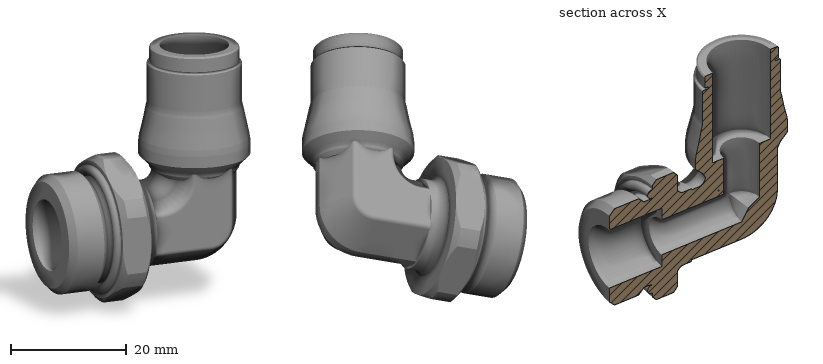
import cadquery as cq
import math


socket_top = 30.95
collet_radius = 7.8
collet_bottom = 28.35
collet_chamfer = 0.25
gap_radius = 7.05
sleeve_radius = 8.23
sleeve_top = 28.05
sleeve_chamfer = 0.18
flare_top = 21.3
flare_cone_top = 20.05
flare_cone_top_radius = 8.45
flare_cone_bottom = 14.8
flare_cone_bottom_radius = 9.6
bulge_radius = 9.7
bulge_top = 13.6
bulge_bottom = 11.6
bulge_cone_bottom = 10.25
bulge_cone_end_radius = 8.3
neck_radius = 7.85
neck_waist = 9.33
neck_bottom = 8.55
neck_bottom_radius = 7.25

half_width = 7.52
outer_reach = 7.55
outer_slope_start = 3.8
shoulder_start = 3.45
shoulder_angle = math.radians(30)
blend_radius = 0.85
shoulder_end = 4.4
hump_half_width = 3.85
hump_edge = 5.9
hump_top = 7.65
bend_centre = 9.1

collar_start = 10.45
collar_radius = 7.9
collar_fillet_start = 12.05
collar_fillet_end_radius = 8.75
hex_start = 13.37
hex_length = 5.4
hex_end = hex_start + hex_length
hex_across_flats = 24.0
hex_corner_radius = 13.0
hex_chamfer_length = 0.9
hex_face_radius = hex_across_flats / 2
relief_radius = 9.33
relief_end = 20.45
thread_radius = 10.45
spigot_end = 27.75
thread_chamfer = thread_radius - relief_radius
ring_section_radius = 0.95

bore_radius = 3.75
drill_half_angle = math.radians(59)
drill_tip = bore_radius / math.tan(drill_half_angle)
tube_bore_radius = 6.03
tube_stop = 11.6
spigot_bore_radius = 6.25
spigot_bore_depth = 11.0


def socket():
    """Collet, sleeve, flared skirt and neck as one turned shape."""
    return (
        cq.Workplane("XZ")
        .moveTo(0, socket_top)
        .lineTo(collet_radius - collet_chamfer, socket_top)
        .lineTo(collet_radius, socket_top - collet_chamfer)
        .lineTo(collet_radius, collet_bottom)
        .lineTo(gap_radius, collet_bottom)
        .lineTo(gap_radius, sleeve_top)
        .lineTo(sleeve_radius - sleeve_chamfer, sleeve_top)
        .lineTo(sleeve_radius, sleeve_top - sleeve_chamfer)
        .lineTo(sleeve_radius, flare_top)
        .tangentArcPoint((flare_cone_top_radius, flare_cone_top), relative=False)
        .lineTo(flare_cone_bottom_radius, flare_cone_bottom)
        .tangentArcPoint((bulge_radius, bulge_top), relative=False)
        .lineTo(bulge_radius, bulge_bottom)
        .lineTo(bulge_cone_end_radius, bulge_cone_bottom)
        .tangentArcPoint((neck_radius, neck_waist), relative=False)
        .lineTo(neck_bottom_radius, neck_bottom)
        .lineTo(0, neck_bottom)
        .close()
        .revolve(360, (0, 0, 0), (0, 1, 0))
    )


def outer_section(plane):
    """Half of the elbow section that faces the outside of the bend."""
    setback = blend_radius * math.tan((math.pi / 2 - shoulder_angle) / 2)
    blend_start = outer_slope_start - setback
    blend_end_u = half_width - setback * math.cos(shoulder_angle)
    blend_end_v = outer_slope_start + setback * math.sin(shoulder_angle)
    flat_half = half_width - (outer_reach - outer_slope_start) / math.tan(shoulder_angle)
    return (
        cq.Workplane(plane)
        .moveTo(-half_width, 0)
        .lineTo(half_width, 0)
        .lineTo(half_width, -blend_start)
        .tangentArcPoint((blend_end_u, -blend_end_v), relative=False)
        .lineTo(flat_half, -outer_reach)
        .lineTo(-flat_half, -outer_reach)
        .lineTo(-blend_end_u, -blend_end_v)
        .tangentArcPoint((-half_width, -blend_start), relative=False)
        .close()
    )


def inner_section(plane, depth):
    """Elbow section facing the inside of the bend, with straight sides down to -depth."""
    turn = math.pi / 2 - shoulder_angle
    setback = blend_radius * math.tan(turn / 2)
    blend_start = shoulder_start - setback
    blend_end_u = half_width - setback * math.cos(shoulder_angle)
    blend_end_v = shoulder_start + setback * math.sin(shoulder_angle)
    shoulder_top = shoulder_start + (half_width - shoulder_end) * math.tan(shoulder_angle)
    return (
        cq.Workplane(plane)
        .moveTo(-half_width, -depth)
        .lineTo(half_width, -depth)
        .lineTo(half_width, blend_start)
        .tangentArcPoint((blend_end_u, blend_end_v), relative=False)
        .lineTo(shoulder_end, shoulder_top)
        .lineTo(hump_half_width, hump_edge)
        .threePointArc((0, hump_top), (-hump_half_width, hump_edge))
        .lineTo(-shoulder_end, shoulder_top)
        .lineTo(-blend_end_u, blend_end_v)
        .tangentArcPoint((-half_width, blend_start), relative=False)
        .close()
    )


def elbow():
    """Two legs joined by a round outside corner and a saddle-shaped inside bend."""
    spigot_plane = cq.Plane((0, 0, 0), xDir=(1, 0, 0), normal=(0, -1, 0))
    socket_plane = cq.Plane((0, 0, 0), xDir=(-1, 0, 0), normal=(0, 0, 1))
    spigot_bend_plane = cq.Plane((0, -bend_centre, 0), xDir=(1, 0, 0), normal=(0, -1, 0))
    socket_bend_plane = cq.Plane((0, 0, bend_centre), xDir=(-1, 0, 0), normal=(0, 0, 1))

    corner = outer_section(spigot_plane).revolve(90, (0, 0, 0), (1, 0, 0))
    spigot_leg = outer_section(spigot_plane).extrude(collar_start)
    socket_leg = outer_section(socket_plane).extrude(bulge_bottom)

    fill_depth = bend_centre * (math.sqrt(2) - 1)
    quadrant = (
        cq.Workplane("XY", origin=(0, -bend_centre, 0))
        .box(2 * half_width, bend_centre, bend_centre, centered=(True, False, False))
    )
    bend = inner_section(spigot_bend_plane, fill_depth).revolve(
        90, (0, bend_centre, 0), (1, bend_centre, 0)
    )
    bend = bend.intersect(quadrant)
    spigot_inside = inner_section(spigot_bend_plane, 0).extrude(collar_start - bend_centre)
    socket_inside = inner_section(socket_bend_plane, 0).extrude(bulge_bottom - bend_centre)

    body = corner.union(spigot_leg).union(socket_leg)
    return body.union(bend).union(spigot_inside).union(socket_inside)


def revolve_about_y(profile):
    """Close a half profile in the XY plane and turn it about the Y axis."""
    return profile.close().revolve(360, (0, 0, 0), (0, 1, 0))


def collar():
    """Round collar that flares into the hexagon."""
    return revolve_about_y(
        cq.Workplane("XY")
        .moveTo(0, -collar_start)
        .lineTo(collar_radius, -collar_start)
        .lineTo(collar_radius, -collar_fillet_start)
        .tangentArcPoint((collar_fillet_end_radius, -hex_start), relative=False)
        .lineTo(0, -hex_start)
    )


def hexagon():
    """Hexagon with corners turned down and chamfered at both faces."""
    across_corners = hex_across_flats / math.cos(math.pi / 6)
    prism = (
        cq.Workplane("XZ", origin=(0, -hex_start, 0))
        .transformed(rotate=(0, 0, 90))
        .polygon(6, across_corners)
        .extrude(hex_length)
    )
    blank = revolve_about_y(
        cq.Workplane("XY")
        .moveTo(0, -hex_start)
        .lineTo(hex_face_radius, -hex_start)
        .lineTo(hex_corner_radius, -hex_start - hex_chamfer_length)
        .lineTo(hex_corner_radius, -hex_end + hex_chamfer_length)
        .lineTo(hex_face_radius, -hex_end)
        .lineTo(0, -hex_end)
    )
    return prism.intersect(blank)


def spigot():
    """Relief groove and thread blank with 45 degree ends."""
    return revolve_about_y(
        cq.Workplane("XY")
        .moveTo(0, -hex_end)
        .lineTo(relief_radius, -hex_end)
        .lineTo(relief_radius, -relief_end)
        .lineTo(thread_radius, -relief_end - thread_chamfer)
        .lineTo(thread_radius, -spigot_end + thread_chamfer)
        .lineTo(thread_radius - thread_chamfer, -spigot_end)
        .lineTo(0, -spigot_end)
    )


def sealing_ring():
    """Round-section ring seated on the relief diameter."""
    return (
        cq.Workplane("XY")
        .moveTo(relief_radius + ring_section_radius, -hex_end)
        .circle(ring_section_radius)
        .revolve(360, (0, 0, 0), (0, 1, 0))
    )


def stepped_bore(length, wide_radius, wide_start):
    """Drilled hole along +Z with a pointed end below the origin and a wider mouth."""
    return (
        cq.Workplane("XZ")
        .moveTo(0, -drill_tip)
        .lineTo(bore_radius, 0)
        .lineTo(bore_radius, wide_start)
        .lineTo(wide_radius, wide_start)
        .lineTo(wide_radius, length)
        .lineTo(0, length)
        .close()
        .revolve(360, (0, 0, 0), (0, 1, 0))
    )


socket_bore = stepped_bore(socket_top, tube_bore_radius, tube_stop)
spigot_bore = stepped_bore(spigot_end, spigot_bore_radius, spigot_end - spigot_bore_depth)
spigot_bore = spigot_bore.rotate((0, 0, 0), (1, 0, 0), 90)

result = elbow()
for feature in (socket(), collar(), hexagon(), spigot(), sealing_ring()):
    result = result.union(feature)
result = result.cut(socket_bore).cut(spigot_bore)